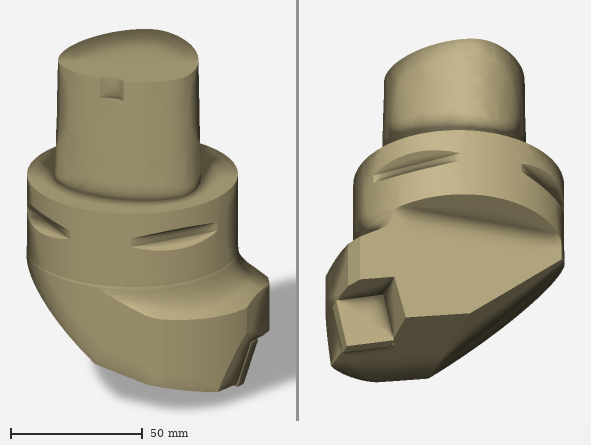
import cadquery as cq
import math


shank_height = 48.0
shank_base_radius = 27.6
shank_top_radius = 26.6
base_lobe_height = 2.11
top_lobe_height = 1.9
points_per_section = 48
key_radius = 5.9
key_inner_y = -22.1
key_depth = 8.2

flange_radius = 80.0 / 2
flange_height = 30.0
groove_floor_radius = 35.6
groove_z = -11.9
groove_floor_width = 3.3
groove_flank_angle = 30
groove_count = 4

head_radius = 40.2
head_top_z = -30.8
head_depth = 84.5
head_reach_x = 49.5
head_front_y = -40.5
shoulder_radius = 11.3
shoulder_end_radius = 46.2
shoulder_cone_angle = 35
blank_radius = 76.8
relief_y = 22.0
relief_rim_z = -28.3
relief_tilt = 5.4
relief_fillet = 3.0

insert_size = 18.8
insert_thickness = 6.1
insert_tip = cq.Vector(44.5, -0.3, -80.0)
lead_angle = 15
edge_rise = 0.12
insert_projection = 0.6
chip_space = 51.2
seat_relief_radius = 1.7
seat_relief_offset = 1.2

side_slope = math.tan(math.radians(lead_angle))
clearance_slope = 0.105
back_slope = 0.846
back_tilt = 0.065
heel_point = (2.8, relief_y, -70.1)
second_clearance_center = (-23.3, 15.4)
second_clearance_radius = 70.4
second_clearance_width = 32
second_clearance_angle = 13
trim_size = 384


def lobed_wire(radius, lobe_height, z):
    """Closed constant-width three-lobed curve with one lobe toward +Y."""
    points = []
    for i in range(points_per_section):
        angle = 2 * math.pi * i / points_per_section
        phase = 3 * (angle - math.pi / 2)
        support = radius + lobe_height * math.cos(phase)
        support_rate = -3 * lobe_height * math.sin(phase)
        x = support * math.cos(angle) - support_rate * math.sin(angle)
        y = support * math.sin(angle) + support_rate * math.cos(angle)
        points.append(cq.Vector(x, y, z))
    return cq.Wire.assembleEdges([cq.Edge.makeSpline(points, periodic=True)])


def make_shank():
    base = lobed_wire(shank_base_radius, base_lobe_height, 0)
    top = lobed_wire(shank_top_radius, top_lobe_height, shank_height)
    shank = cq.Workplane(cq.Solid.makeLoft([base, top]))
    key_slot = (
        cq.Workplane("XY", origin=(0, key_inner_y - key_radius, shank_height - key_depth))
        .circle(key_radius)
        .extrude(key_depth)
    )
    return shank.cut(key_slot)


def make_flange():
    flange = cq.Workplane("XY").circle(flange_radius).extrude(-flange_height)
    reach = flange_radius + 1.3
    half_floor = groove_floor_width / 2
    half_mouth = half_floor + (reach - groove_floor_radius) * math.tan(math.radians(groove_flank_angle))
    groove = (
        cq.Workplane("XZ", origin=(0, 0, groove_z))
        .polyline([
            (groove_floor_radius, -half_floor),
            (reach, -half_mouth),
            (reach, half_mouth),
            (groove_floor_radius, half_floor),
        ])
        .close()
        .extrude(flange_radius, both=True)
    )
    for i in range(groove_count):
        flange = flange.cut(groove.rotate((0, 0, 0), (0, 0, 1), 45 + i * 360 / groove_count))
    return flange


def trim(point, outward):
    """Large block filling the side of a plane that its outward normal points to."""
    plane = cq.Plane(origin=point, normal=outward)
    return cq.Workplane(plane).rect(trim_size, trim_size).extrude(trim_size)


def make_head_blank():
    """Round neck plus the offset nose, under a concave shoulder."""
    disc = cq.Workplane("XY").circle(head_radius).extrude(-head_depth)
    nose = (
        cq.Workplane("XY")
        .moveTo(0, relief_y)
        .lineTo(-2.2, -40.13)
        .lineTo(0.5, -40.25)
        .lineTo(11.8, head_front_y)
        .lineTo(17.8, head_front_y)
        .threePointArc((22.0, -40.2), (26.0, -38.9))
        .threePointArc((40.5, -27.9), (head_reach_x, -11.0))
        .lineTo(head_reach_x, 15.7)
        .lineTo(46.8, relief_y)
        .close()
        .extrude(-head_depth)
    )
    center_r = head_radius + shoulder_radius
    end_angle = math.acos((center_r - shoulder_end_radius) / shoulder_radius)
    end_z = head_top_z - shoulder_radius * math.sin(end_angle)
    mid_r = center_r - shoulder_radius * math.cos(end_angle / 2)
    mid_z = head_top_z - shoulder_radius * math.sin(end_angle / 2)
    cone_z = end_z - (blank_radius - shoulder_end_radius) * math.tan(math.radians(shoulder_cone_angle))
    envelope = (
        cq.Workplane("XZ")
        .moveTo(0, -flange_height)
        .lineTo(flange_radius, -flange_height)
        .lineTo(head_radius, head_top_z)
        .threePointArc((mid_r, mid_z), (shoulder_end_radius, end_z))
        .lineTo(blank_radius, cone_z)
        .lineTo(blank_radius, -head_depth)
        .lineTo(0, -head_depth)
        .close()
        .revolve(360, (0, 0, 0), (0, 1, 0))
    )
    return disc.union(nose).intersect(envelope)


def make_relief():
    """Space behind the head's flat back, under a sloping flange underside."""
    tilt = math.tan(math.radians(relief_tilt))
    inner_z = relief_rim_z - (flange_radius - relief_y) * tilt
    return (
        cq.Workplane("YZ", origin=(-blank_radius, 0, 0))
        .polyline([
            (relief_y, -2 * head_depth),
            (relief_y, inner_z),
            (flange_radius, relief_rim_z),
            (blank_radius, relief_rim_z),
            (blank_radius, -2 * head_depth),
        ])
        .close()
        .extrude(2 * blank_radius)
        .edges(cq.selectors.NearestToPointSelector((0, relief_y, inner_z)))
        .fillet(relief_fillet)
    )


def insert_plane():
    """Rake-face plane at the tip: local x and y run along the two cutting edges."""
    lead = math.radians(lead_angle)
    lower_edge = cq.Vector(-math.cos(lead), edge_rise, math.sin(lead))
    side_edge = cq.Vector(math.sin(lead), edge_rise, math.cos(lead))
    return cq.Plane(origin=insert_tip, xDir=lower_edge, normal=lower_edge.cross(side_edge))


def make_insert():
    return (
        cq.Workplane(insert_plane())
        .rect(insert_size, insert_size, centered=False)
        .extrude(-insert_thickness)
    )


def make_chip_pocket():
    """Open space in front of the rake face."""
    center = insert_size - chip_space / 2
    return (
        cq.Workplane(insert_plane())
        .center(center, center)
        .rect(chip_space, chip_space)
        .extrude(chip_space)
    )


def make_seat_relief():
    return (
        cq.Workplane(insert_plane())
        .center(insert_size, seat_relief_offset)
        .circle(seat_relief_radius)
        .extrude(-insert_thickness)
    )


def make_second_clearance():
    """Shallow conical relief around the outer part of the clearance face."""
    x, y = second_clearance_center
    z = heel_point[2] - side_slope * (x - heel_point[0]) - clearance_slope * (y - heel_point[1])
    face = cq.Plane(origin=(x, y, z), normal=(side_slope, clearance_slope, 1))
    profile_plane = cq.Plane(origin=face.origin, xDir=face.xDir, normal=face.yDir.multiply(-1))
    outer_radius = second_clearance_radius + second_clearance_width
    rise = second_clearance_width * math.tan(math.radians(second_clearance_angle))
    return (
        cq.Workplane(profile_plane)
        .polyline([
            (second_clearance_radius, 0),
            (outer_radius, rise),
            (outer_radius, -rise),
            (second_clearance_radius, -rise),
        ])
        .close()
        .revolve(360, (0, 0, 0), (0, 1, 0))
    )


def make_holder(insert):
    head = make_head_blank()
    side_point = insert_tip - cq.Vector(insert_projection, 0, 0)
    head = head.cut(trim(heel_point, (-back_slope, -back_tilt, -1)))
    head = head.cut(trim(heel_point, (-side_slope, -clearance_slope, -1)))
    head = head.cut(make_second_clearance())
    head = head.cut(trim(side_point, (1, -edge_rise, -side_slope)))
    holder = make_flange().union(head).cut(make_relief()).union(make_shank())
    return holder.cut(make_chip_pocket()).cut(make_seat_relief()).cut(insert)


insert = make_insert()
holder = make_holder(insert)

result = cq.Compound.makeCompound([holder.solids().val(), insert.val()])